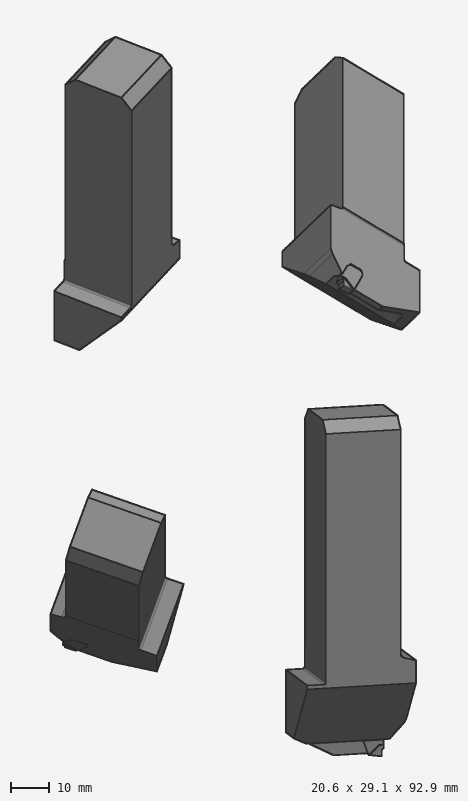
import cadquery as cq
import math

shank_side = 20.0
total_height = 92.9
end_chamfer = 3.1

head_offset = 0.3
head_front_y = -5.0
head_back_y = 24.1
ledge_z = 24.0
ledge_fillet = 0.6
step_z = 30.1
step_radius = 2.3
shoulder_z = 28.9
shoulder_angle = 15.0
shoulder_fillet = 1.5
bottom_z = 1.0
front_bevel_z = 7.4
front_bevel_y = 7.2
back_bevel_z = 11.1
back_bevel_angle = 29.3
back_bevel_radius = 4.2

relief_top_z = 22.9
relief_bottom_z = 5.5
relief_bottom_x = 5.8
blade_thickness = 1.6
blade_root_radius = 1.1

insert_top_z = 10.0
pocket_clearance = 0.3
insert_top_back_y = 17.6
insert_top_front_y = 14.1
front_arc_middle = (13.75, 9.0)
front_side_top = (13.9, 7.9)
front_side_bottom = (16.4, 0.9)
heel = (16.7, 0.6)
tip = (20.1, 0)
rake_top = (20.1, 1.8)
nose_bottom = (20.6, 2.3)
nose_top = (20.6, 4.5)
back_side_bottom = (20.25, 4.6)
back_side_top = (18.7, 8.8)
cutting_overhang = 0.3
cutting_top_z = 3.1
cutting_top_y = 19.4
cutting_heel = (16.9, 0.7)
cutting_corner_radius = 0.23
cutting_end_reach = 0.5

head_x = -head_offset
blade_x = head_x + blade_thickness


def extrude_side(outline, x_start, x_end):
    """Extrude a closed Y-Z outline from x_start to x_end."""
    return outline.extrude(x_end - x_start).translate((x_start, 0, 0))


def round_x_edge(body, y, z, radius):
    """Round the edge parallel to X that runs through (y, z)."""
    edge = body.edges("|X").edges(cq.NearestToPointSelector((shank_side / 2, y, z)))
    return edge.fillet(radius)


def make_side_block():
    """Y-Z outline of shank and head, as wide as the whole holder."""
    shoulder_rise = (head_back_y - shank_side) * math.tan(math.radians(shoulder_angle))
    shoulder_top_z = shoulder_z + shoulder_rise
    back_bevel_run = (back_bevel_z - bottom_z) * math.tan(math.radians(back_bevel_angle))
    outline = cq.Workplane("YZ").polyline([
        (0, total_height),
        (0, ledge_z),
        (head_front_y, ledge_z),
        (head_front_y, front_bevel_z),
        (front_bevel_y, bottom_z),
        (head_back_y - back_bevel_run, bottom_z),
        (head_back_y, back_bevel_z),
        (head_back_y, shoulder_z),
        (shank_side, shoulder_top_z),
        (shank_side, total_height),
    ]).close()
    block = extrude_side(outline, head_x, shank_side)
    block = round_x_edge(block, 0, ledge_z, ledge_fillet)
    block = round_x_edge(block, shank_side, shoulder_top_z, shoulder_fillet)
    return round_x_edge(block, head_back_y, back_bevel_z, back_bevel_radius)


def make_front_block():
    """X-Z outline of shank, head and blade, as deep as the whole holder."""
    step_height = math.sqrt(step_radius**2 - (step_radius - head_offset) ** 2)
    outline = (
        cq.Workplane("XZ", origin=(0, head_back_y, 0))
        .moveTo(head_x, bottom_z)
        .lineTo(blade_x, bottom_z)
        .lineTo(blade_x, relief_bottom_z - blade_root_radius)
        .radiusArc((blade_x + blade_root_radius, relief_bottom_z), blade_root_radius)
        .lineTo(relief_bottom_x, relief_bottom_z)
        .lineTo(shank_side, relief_top_z)
        .lineTo(shank_side, total_height - end_chamfer)
        .lineTo(shank_side - end_chamfer, total_height)
        .lineTo(end_chamfer, total_height)
        .lineTo(0, total_height - end_chamfer)
        .lineTo(0, step_z + step_height)
        .radiusArc((head_x, step_z), -step_radius)
        .close()
    )
    return outline.extrude(head_back_y - head_front_y)


def insert_outline():
    """Y-Z outline of the slanted insert, with a flat top end."""
    return (
        cq.Workplane("YZ")
        .moveTo(insert_top_back_y, insert_top_z)
        .lineTo(insert_top_front_y, insert_top_z)
        .threePointArc(front_arc_middle, front_side_top)
        .lineTo(*front_side_bottom)
        .lineTo(*heel)
        .lineTo(*tip)
        .lineTo(*rake_top)
        .lineTo(*nose_bottom)
        .lineTo(*nose_top)
        .lineTo(*back_side_bottom)
        .lineTo(*back_side_top)
        .close()
    )


def make_cutting_end():
    """Lower part of the insert outline, wider than the blade."""
    x_start = head_x - cutting_overhang
    x_end = blade_x + cutting_overhang
    full = extrude_side(insert_outline(), x_start, x_end)
    outer_y = nose_top[0] + cutting_end_reach
    lower_z = -cutting_end_reach
    lower_outline = cq.Workplane("YZ").polyline([
        (outer_y, cutting_top_z),
        (cutting_top_y, cutting_top_z),
        cutting_heel,
        (cutting_heel[0], lower_z),
        (outer_y, lower_z),
    ]).close()
    end = full.intersect(extrude_side(lower_outline, x_start, x_end))
    tip_corners = end.faces("<Z").edges("<X or >X")
    return tip_corners.fillet(cutting_corner_radius)


def make_plate():
    """Insert body, flush with both faces of the blade."""
    return extrude_side(insert_outline(), head_x, blade_x)


def make_top_gap():
    """Clearance in the pocket above the flat top end of the insert."""
    return cq.Workplane("XY").box(
        blade_thickness,
        insert_top_back_y - insert_top_front_y,
        pocket_clearance,
        centered=False,
    ).translate((head_x, insert_top_front_y, insert_top_z))


def make_holder():
    blank = make_side_block().intersect(make_front_block())
    return blank.cut(make_plate()).cut(make_top_gap())


def make_insert():
    return make_plate().union(make_cutting_end())


holder = make_holder()
insert = make_insert()
result = cq.Compound.makeCompound([holder.solids().val(), insert.solids().val()])